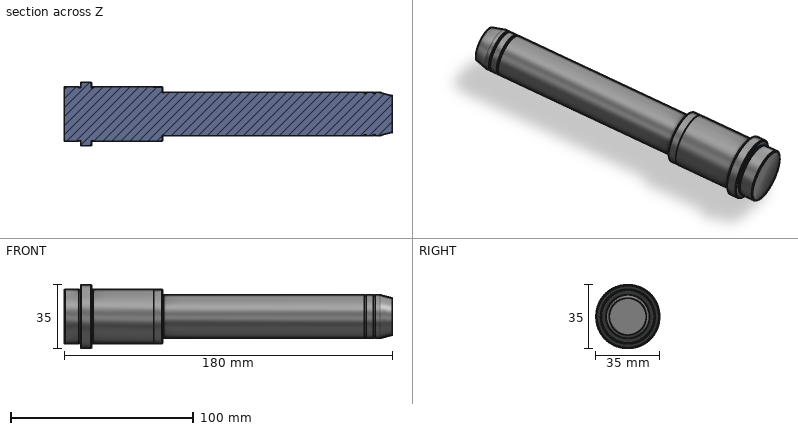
import cadquery as cq
import math

total_length = 180.0

head_diameter = 30.0
head_chamfer = 0.5
flange_diameter = 35.0
flange_start = 9.0
flange_width = 6.0
flange_end = flange_start + flange_width
flange_chamfer = 0.5
head_relief_width = 1.0
head_relief_depth = 0.3

collar_end = 54.0
lead_length = 5.0
lead_start = collar_end - lead_length
lead_diameter = 29.9
lead_chamfer = 0.5

shaft_diameter = 24.0
shaft_relief_width = 0.5
shaft_relief_depth = 0.1
oil_groove_width = 1.0
oil_groove_depth = oil_groove_width / 2
oil_groove_starts = (164.5, 169.5)

taper_length = 7.0
taper_start = total_length - taper_length
taper_angle = 15.0
tip_diameter = shaft_diameter - 2 * taper_length * math.tan(math.radians(taper_angle))


def revolve_profile(outer_points):
    """Solid of revolution about X from its outer (x, radius) points."""
    first_x = outer_points[0][0]
    last_x = outer_points[-1][0]
    profile = cq.Workplane("XZ").polyline([(first_x, 0), *outer_points, (last_x, 0)]).close()
    return profile.revolve(360, (0, 0, 0), (1, 0, 0))


def cylinder(diameter, start, end):
    """Solid cylinder on the X axis between two X positions."""
    return revolve_profile([(start, diameter / 2), (end, diameter / 2)])


def ring_groove(diameter, start, width, depth):
    """Ring that cuts a rectangular groove into a cylinder of the given diameter."""
    end = start + width
    return cylinder(diameter, start, end).cut(cylinder(diameter - 2 * depth, start, end))


def round_groove(diameter, start, width, depth):
    """Ring that cuts an arc-bottomed groove into a cylinder of the given diameter."""
    radius = diameter / 2
    profile = (
        cq.Workplane("XZ")
        .moveTo(start, radius)
        .threePointArc((start + width / 2, radius - depth), (start + width, radius))
        .close()
    )
    return profile.revolve(360, (0, 0, 0), (1, 0, 0))


def make_head():
    """Spigot and collar with their reliefs, the flange and the lead-in."""
    head = cylinder(head_diameter, 0, lead_start)
    head = head.faces("<X").edges().chamfer(head_chamfer)
    for start in (flange_start - head_relief_width, flange_end):
        head = head.cut(ring_groove(head_diameter, start, head_relief_width, head_relief_depth))

    flange = cylinder(flange_diameter, flange_start, flange_end)
    flange = flange.faces("<X or >X").edges().chamfer(flange_chamfer)

    lead = cylinder(lead_diameter, lead_start, collar_end)
    lead = lead.faces(">X").edges().chamfer(lead_chamfer)
    return head.union(flange).union(lead)


def make_shaft():
    """Guide shaft with its conical tip, collar relief and oil grooves."""
    shaft_radius = shaft_diameter / 2
    shaft = revolve_profile(
        [
            (lead_start, shaft_radius),
            (taper_start, shaft_radius),
            (total_length, tip_diameter / 2),
        ]
    )
    shaft = shaft.cut(ring_groove(shaft_diameter, collar_end, shaft_relief_width, shaft_relief_depth))
    for start in oil_groove_starts:
        shaft = shaft.cut(round_groove(shaft_diameter, start, oil_groove_width, oil_groove_depth))
    return shaft


result = make_head().union(make_shaft())